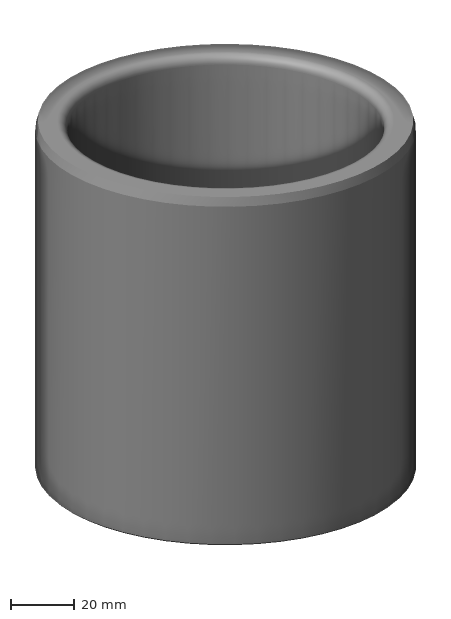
import cadquery as cq

outer_diameter = 120.0
bore_diameter = 100.0
height = 120.0

bore_lip_radius = 3.0
lead_in_height = 3.0
lead_in_depth = 0.8
bottom_chamfer = 0.6

outer_radius = outer_diameter / 2
bore_radius = bore_diameter / 2

section = (
    cq.Workplane("XZ")
    .moveTo(bore_radius, 0)
    .lineTo(outer_radius - bottom_chamfer, 0)
    .lineTo(outer_radius, bottom_chamfer)
    .lineTo(outer_radius, height - lead_in_height)
    .lineTo(outer_radius - lead_in_depth, height)
    .lineTo(bore_radius + bore_lip_radius, height)
    .radiusArc((bore_radius, height - bore_lip_radius), -bore_lip_radius)
    .close()
)

result = section.revolve(360, (0, 0, 0), (0, 1, 0))